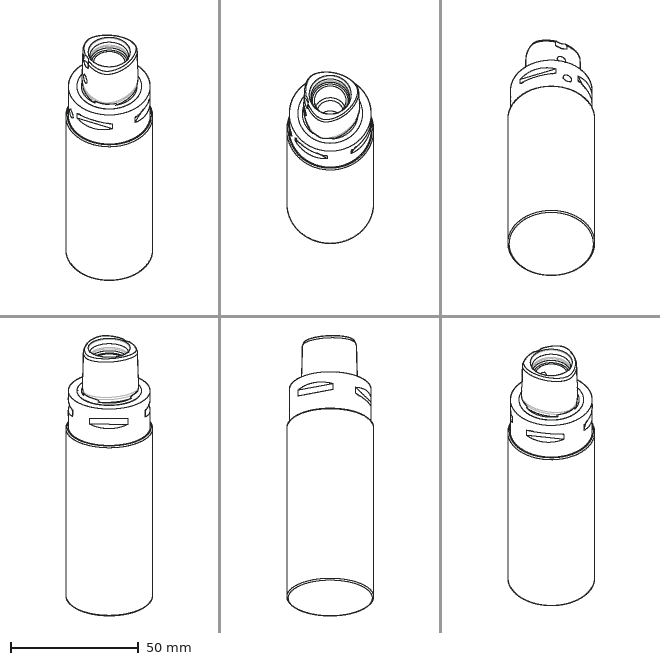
import cadquery as cq
import math

total_height = 109.0
body_top = 74.3
flange_top = 90.3
neck_top = 91.5
taper_bottom = 92.5
taper_top = 107.8

body_diameter = 34.0
body_chamfer = 0.5
flange_diameter = 32.0

lobe_height = 0.71
neck_radius = 10.8
taper_slope = 1 / 40
taper_bottom_radius = 11.0
taper_top_radius = taper_bottom_radius - taper_slope * (taper_top - taper_bottom)
rim_radius = 10.1
lobe_outline_points = 48

ring_groove_radius = 11.8
ring_groove_section_radius = 1.0
ring_groove_height = 90.7

rim_bore_diameter = 16.5
rim_bevel_width = 0.16
rim_bevel_depth = 0.3
collar_diameter = 15.0
collar_depth = 2.0
collar_bottom_depth = 3.6
seat_diameter = 14.8
seat_depth = 4.1
seat_bottom_depth = 5.0
ledge_diameter = 14.0
ledge_depth = 5.8
clearance_diameter = 12.3
clearance_depth = 17.4
drill_diameter = 10.4
drill_depth = 28.3
drill_tip_angle = 118.0

gripper_slot_count = 4
gripper_slot_height = 83.9
gripper_slot_first_angle = 45.0
gripper_slot_floor_width = 2.5
gripper_slot_floor_distance = 14.2
gripper_slot_side_angle = 28.0

side_hole_diameter = 3.6
side_hole_height = 98.0
dimple_diameter = 3.6
dimple_height = 81.0
key_radius = 3.8
key_back_distance = 8.9
key_axis_distance = key_back_distance + key_radius
key_tip_angle = 100.0
key_floor_height = 105.8


def cone_depth(radius, tip_angle=drill_tip_angle):
    """Height of a drill-point cone with the given base radius."""
    return radius / math.tan(math.radians(tip_angle / 2))


def lobed_outline(mean_radius, height):
    """Closed constant-width outline with three lobes, one of them toward +Y."""

    def outline_point(step):
        angle = 2 * math.pi * step / lobe_outline_points
        phase = 3 * (angle - math.pi / 2)
        reach = mean_radius + lobe_height * math.cos(phase)
        sideways = -3 * lobe_height * math.sin(phase)
        return cq.Vector(
            reach * math.cos(angle) - sideways * math.sin(angle),
            reach * math.sin(angle) + sideways * math.cos(angle),
            height,
        )

    points = [outline_point(step) for step in range(lobe_outline_points)]
    return cq.Wire.assembleEdges([cq.Edge.makeSpline(points, periodic=True)])


def lobed_section(bottom_radius, bottom, top_radius, top):
    """Straight-sided length of the taper between two lobed outlines."""
    outlines = [lobed_outline(bottom_radius, bottom), lobed_outline(top_radius, top)]
    return cq.Workplane(cq.Solid.makeLoft(outlines, True))


def body_and_flange():
    body = cq.Workplane().circle(body_diameter / 2).extrude(body_top)
    body = body.faces("<Z or >Z").chamfer(body_chamfer)
    flange = cq.Workplane().circle(flange_diameter / 2).extrude(flange_top)
    return body.union(flange)


def lobed_taper():
    neck = lobed_section(neck_radius, flange_top, neck_radius, neck_top)
    foot = lobed_section(neck_radius, neck_top, taper_bottom_radius, taper_bottom)
    taper = lobed_section(taper_bottom_radius, taper_bottom, taper_top_radius, taper_top)
    rim = lobed_section(taper_top_radius, taper_top, rim_radius, total_height)
    return neck.union(foot).union(taper).union(rim)


def ring_groove():
    center = (ring_groove_radius, ring_groove_height)
    section = cq.Workplane("XZ").center(*center).circle(ring_groove_section_radius)
    return section.revolve(360, (-ring_groove_radius, 0), (-ring_groove_radius, 1))


def stepped_bore():
    rim, collar, seat = rim_bore_diameter / 2, collar_diameter / 2, seat_diameter / 2
    clearance, drill = clearance_diameter / 2, drill_diameter / 2
    shoulder_depth = clearance_depth + cone_depth(clearance - drill)
    profile = [
        (0, 0),
        (rim, 0),
        (rim - rim_bevel_width, rim_bevel_depth),
        (collar, collar_depth),
        (collar, collar_bottom_depth),
        (seat, seat_depth),
        (seat, seat_bottom_depth),
        (ledge_diameter / 2, ledge_depth),
        (clearance, ledge_depth),
        (clearance, clearance_depth),
        (drill, shoulder_depth),
        (drill, drill_depth),
        (0, drill_depth + cone_depth(drill)),
    ]
    points = [(radius, total_height - depth) for radius, depth in profile]
    return cq.Workplane("XZ").polyline(points).close().revolve(360, (0, 0), (0, 1))


def gripper_slot(angle):
    """Straight slot across the flange with sides that flare outward."""
    depth = body_diameter / 2 - gripper_slot_floor_distance
    floor = gripper_slot_floor_width / 2
    mouth = floor + depth * math.tan(math.radians(gripper_slot_side_angle))
    inner, outer = gripper_slot_floor_distance, gripper_slot_floor_distance + depth
    slot = (
        cq.Workplane("XZ")
        .polyline([(inner, -floor), (outer, -mouth), (outer, mouth), (inner, floor)])
        .close()
        .extrude(body_diameter / 2, both=True)
    )
    return slot.translate((0, 0, gripper_slot_height)).rotate((0, 0, 0), (0, 0, 1), angle)


def side_hole():
    """Cross hole from the -Y side into the bore."""
    return (
        cq.Workplane("XZ")
        .center(0, side_hole_height)
        .circle(side_hole_diameter / 2)
        .extrude(body_diameter / 2)
    )


def flange_dimple():
    """Ball-shaped dimple on the -Y side of the flange."""
    return cq.Workplane().sphere(dimple_diameter / 2).translate((0, -flange_diameter / 2, dimple_height))


def key_notch():
    """Vertical drill-pointed notch through the rim on the -Y side."""
    profile = [
        (0, key_floor_height - cone_depth(key_radius, key_tip_angle)),
        (key_radius, key_floor_height),
        (key_radius, total_height),
        (0, total_height),
    ]
    notch = cq.Workplane("XZ").polyline(profile).close().revolve(360, (0, 0), (0, 1))
    return notch.translate((0, -key_axis_distance, 0))


result = body_and_flange().union(lobed_taper()).cut(ring_groove()).cut(stepped_bore())
for index in range(gripper_slot_count):
    result = result.cut(gripper_slot(gripper_slot_first_angle + index * 360 / gripper_slot_count))
result = result.cut(side_hole()).cut(flange_dimple()).cut(key_notch())